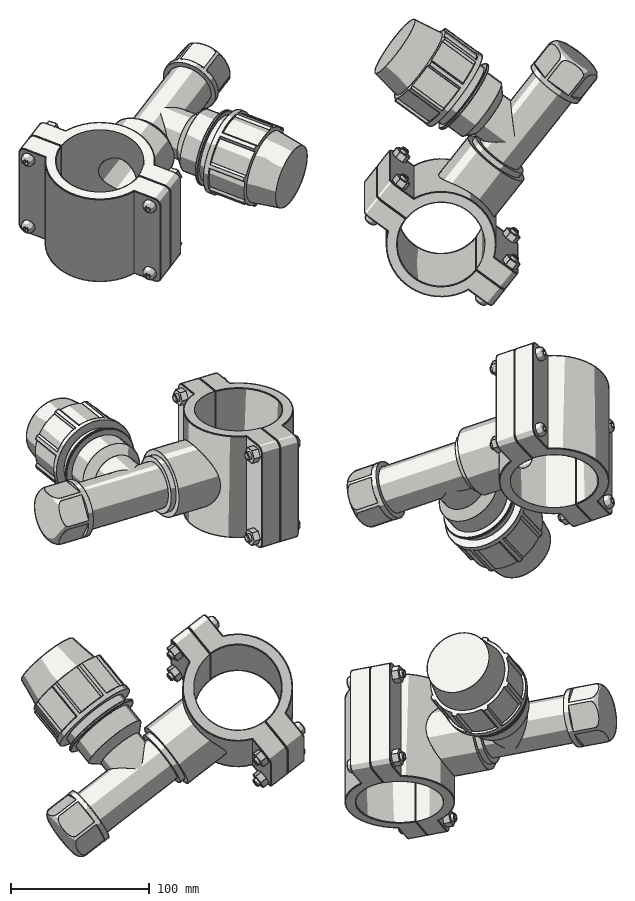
import cadquery as cq
import math

clamp_height = 84.0
clamp_outer_radius = 39.5
clamp_bore_radius = 31.5
ear_half_span = 58.0
ear_thickness = 15.5
ear_corner_radius = 5.6
edge_break = 0.5

bolt_offset_x = 49.8
bolt_offset_z = 34.0
shank_diameter = 6.0
shank_end = 23.5
shank_end_chamfer = 0.6
head_diameter = 10.0
head_rim_height = 1.6
head_height = 4.6
key_across_flats = 3.8
key_depth = 2.0
nut_across_flats = 10.5
nut_height = 5.2

neck_diameter = 50.6
neck_end = 65.5
collar_diameter = 42.8
collar_end = 69.7
tube_diameter = 35.2
cap_flange_start = 135.2
cap_hex_start = 139.2
cap_end = 161.3
cap_across_flats = 38.2
cap_crown_radius = 5.5
tapping_diameter = 32.0

branch_y = 88.4
branch_tube_end = 24.7
socket_start = 30.7
socket_diameter = 48.0
ring_start = 45.5
ring_end = 47.6
ring_diameter = 57.7
ring_chamfer = 0.5
spigot_diameter = 51.2
nut_flange_start = 54.0
nut_flange_end = 57.9
nut_flange_diameter = 64.0
nut_body_diameter = 60.3
nut_grip_end = 86.0
taper_start = 87.0
taper_start_diameter = 55.2
branch_end = 108.9
rib_count = 8
rib_root_width = 5.2
rib_tip_width = 2.8
cut_margin = 1.0


def upright_cylinder(radius):
    """Cylinder on the clamp axis over the full clamp height."""
    return cq.Workplane("XY").circle(radius).extrude(clamp_height / 2, both=True)


def cylinder_y(diameter, start, end):
    """Cylinder on the riser axis between two Y positions."""
    return cq.Workplane("XZ", origin=(0, start, 0)).circle(diameter / 2).extrude(start - end)


def hexagon_y(across_flats, start, end):
    """Hexagonal prism along Y between two Y positions, with two corners in the XY plane."""
    across_corners = across_flats / math.cos(math.pi / 6)
    return cq.Workplane("XZ", origin=(0, start, 0)).polygon(6, across_corners).extrude(start - end)


def clamp_half(side, break_bore):
    """One clamp half on the given side (+1 or -1) of Y = 0, with its sharp edges broken."""
    ears = (
        cq.Workplane("XY")
        .box(2 * ear_half_span, ear_thickness, clamp_height)
        .translate((0, side * ear_thickness / 2, 0))
        .edges("|Y")
        .fillet(ear_corner_radius)
    )
    half_space = (
        cq.Workplane("XY")
        .box(4 * ear_half_span, 2 * ear_half_span, 2 * clamp_height)
        .translate((0, side * ear_half_span, 0))
    )
    shell = upright_cylinder(clamp_outer_radius)
    bore = upright_cylinder(clamp_bore_radius)
    half = ears.union(shell.intersect(half_space)).cut(bore)

    def is_broken(edge):
        box = edge.BoundingBox()
        tolerance = 0.02
        flat_in_y = box.ylen < tolerance
        flat_in_z = box.zlen < tolerance
        on_end = flat_in_z and abs(abs(box.zmin) - clamp_height / 2) < tolerance
        across_ear = flat_in_z and box.xlen < tolerance
        inside_corner = box.xlen < tolerance and box.zlen > tolerance and (
            clamp_bore_radius + tolerance < abs(box.xmin) < clamp_outer_radius
        )
        on_bore = max(abs(box.xmin), abs(box.xmax)) < clamp_bore_radius + tolerance
        if across_ear or inside_corner or (on_bore and not break_bore):
            return False
        return on_end or flat_in_y

    broken = [edge for edge in half.edges().vals() if is_broken(edge)]
    return half.newObject(broken).chamfer(edge_break)


def clamp_bolt():
    """Button-head screw with hexagon nut along Y; the head is on the -Y side."""
    rim = ear_thickness + head_rim_height
    top = ear_thickness + head_height
    head_radius = head_diameter / 2
    dome_radius = top - rim
    flat_radius = head_radius - dome_radius
    mid_angle = math.radians(45)
    mid_point = (
        flat_radius + dome_radius * math.cos(mid_angle),
        -rim - dome_radius * math.sin(mid_angle),
    )
    head = (
        cq.Workplane("XY")
        .moveTo(0, -ear_thickness)
        .lineTo(head_radius, -ear_thickness)
        .lineTo(head_radius, -rim)
        .threePointArc(mid_point, (flat_radius, -top))
        .lineTo(0, -top)
        .close()
        .revolve(360, (0, 0, 0), (0, 1, 0))
    )
    key_socket = hexagon_y(key_across_flats, -top, -top + key_depth)
    shank = cylinder_y(shank_diameter, -ear_thickness, shank_end).faces(">Y").chamfer(shank_end_chamfer)
    nut = hexagon_y(nut_across_flats, ear_thickness, ear_thickness + nut_height)
    return head.cut(key_socket).union(shank).union(nut)


def end_cap():
    """Hexagon cap with a round flange and a crowned end."""
    flange = cylinder_y(collar_diameter, cap_flange_start, cap_hex_start)
    crown = (
        cylinder_y(collar_diameter, cap_hex_start, cap_end).faces(">Y").edges().fillet(cap_crown_radius)
    )
    hexagon = hexagon_y(cap_across_flats, cap_hex_start, cap_end)
    return flange.union(crown.intersect(hexagon))


def nut_recesses():
    """Ring around the nut body with gaps at the tapered grip ribs; cutting it leaves the ribs standing."""
    length = taper_start - nut_flange_end
    tip_radius = nut_flange_diameter / 2
    root_radius = math.sqrt((nut_body_diameter / 2) ** 2 - (rib_root_width / 2) ** 2)
    flank_slope = (rib_tip_width - rib_root_width) / 2 / (tip_radius - root_radius)
    inner_radius = root_radius - cut_margin
    outer_radius = tip_radius + cut_margin
    inner_half_width = rib_root_width / 2 - flank_slope * cut_margin
    outer_half_width = rib_tip_width / 2 + flank_slope * cut_margin
    gap = (
        cq.Workplane("YZ", origin=(nut_flange_end, 0, 0))
        .polyline(
            [
                (-inner_half_width, inner_radius),
                (-outer_half_width, outer_radius),
                (outer_half_width, outer_radius),
                (inner_half_width, inner_radius),
            ]
        )
        .close()
        .extrude(length)
    )
    ring = (
        cq.Workplane("YZ", origin=(nut_flange_end, 0, 0))
        .circle(tip_radius + cut_margin / 2)
        .circle(nut_body_diameter / 2)
        .extrude(length)
    )
    pitch = 360 / rib_count
    for index in range(rib_count):
        ring = ring.cut(gap.rotate((0, 0, 0), (1, 0, 0), (index + 0.5) * pitch))
    return ring


def branch():
    """Turned body of the compression fitting with grip ribs around its nut."""
    nut_radius = nut_flange_diameter / 2
    ring_radius = ring_diameter / 2
    profile = [
        (0, 0),
        (0, tube_diameter / 2),
        (branch_tube_end, tube_diameter / 2),
        (socket_start, socket_diameter / 2),
        (ring_start, socket_diameter / 2),
        (ring_start, ring_radius - ring_chamfer),
        (ring_start + ring_chamfer, ring_radius),
        (ring_end - ring_chamfer, ring_radius),
        (ring_end, ring_radius - ring_chamfer),
        (ring_end, spigot_diameter / 2),
        (nut_flange_start, spigot_diameter / 2),
        (nut_flange_start, nut_radius),
        (nut_grip_end, nut_radius),
        (taper_start, taper_start_diameter / 2),
        (branch_end, socket_diameter / 2),
        (branch_end, 0),
    ]
    body = cq.Workplane("XY").polyline(profile).close().revolve(360, (0, 0, 0), (1, 0, 0))
    return body.cut(nut_recesses()).translate((0, branch_y, 0))


def riser():
    """Neck, collar and tube; the neck is rooted in the middle of the clamp wall."""
    wall_middle_radius = (clamp_bore_radius + clamp_outer_radius) / 2
    neck = cylinder_y(neck_diameter, 0, neck_end).cut(upright_cylinder(wall_middle_radius))
    collar = cylinder_y(collar_diameter, neck_end, collar_end)
    tube = cylinder_y(tube_diameter, collar_end, cap_flange_start)
    return neck.union(collar).union(tube)


tapping_hole = cylinder_y(tapping_diameter, 0, neck_end)

result = clamp_half(1, break_bore=False).union(clamp_half(-1, break_bore=True))
result = result.union(riser()).union(end_cap()).union(branch()).cut(tapping_hole)
for x_side in (-1, 1):
    for z_side in (-1, 1):
        bolt = clamp_bolt().translate((x_side * bolt_offset_x, 0, z_side * bolt_offset_z))
        result = result.union(bolt)